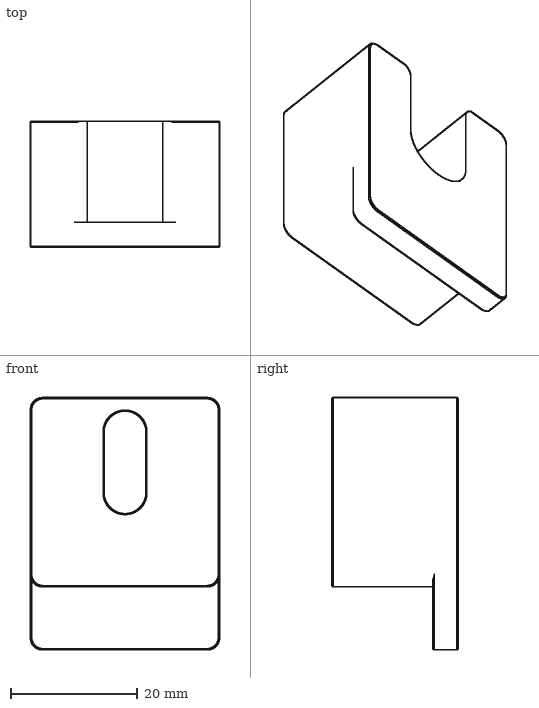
import cadquery as cq

width = 30.0
depth = 20.0
height = 40.0
block_height = 30.0
plate_thickness = 4.0
corner_radius = 2.0
edge_chamfer = 0.2

front_wall = 4.0
channel_width = 12.0
channel_depth = 21.0
mouth_radius = 2.0

slot_width = 6.65
slot_length = 16.25
slot_top_gap = 2.15
slot_depth = 3.8
slot_chamfer = 0.15

front_y = -depth / 2
back_y = depth / 2
top_z = height / 2


def rounded_slab(slab_height, start_y, thickness):
    """Slab hanging from the top plane, with rounded corners and chamfered front and back rims."""
    return (
        cq.Workplane("XY")
        .box(width, thickness, slab_height)
        .translate((0, start_y + thickness / 2, top_z - slab_height / 2))
        .edges("|Y")
        .fillet(corner_radius)
        .faces("<Y or >Y")
        .chamfer(edge_chamfer)
    )


def channel_cutter():
    """Channel with a half-round floor and a mouth that flares through convex rounds."""
    half_width = channel_width / 2
    half_mouth = half_width + mouth_radius
    floor_z = top_z - channel_depth
    arc_z = floor_z + half_width
    return (
        cq.Workplane("XZ", origin=(0, back_y, 0))
        .moveTo(-half_mouth, top_z)
        .radiusArc((-half_width, top_z - mouth_radius), mouth_radius)
        .lineTo(-half_width, arc_z)
        .threePointArc((0, floor_z), (half_width, arc_z))
        .lineTo(half_width, top_z - mouth_radius)
        .radiusArc((half_mouth, top_z), mouth_radius)
        .close()
        .extrude(depth - front_wall)
    )


def slot_cutter():
    """Upright slot whose rim widens outward in a small chamfer."""
    center_z = top_z - slot_top_gap - slot_length / 2
    face = cq.Workplane("XZ", origin=(0, front_y, center_z))
    slot = face.slot2D(slot_length, slot_width, 90).extrude(-slot_depth)
    rim_length = slot_length + 2 * slot_chamfer
    rim_width = slot_width + 2 * slot_chamfer
    rim = face.slot2D(rim_length, rim_width, 90).extrude(-slot_chamfer, taper=45)
    return slot.union(rim)


block = rounded_slab(block_height, front_y, depth)
plate = rounded_slab(height, back_y - plate_thickness, plate_thickness)
result = block.union(plate).cut(channel_cutter()).cut(slot_cutter())